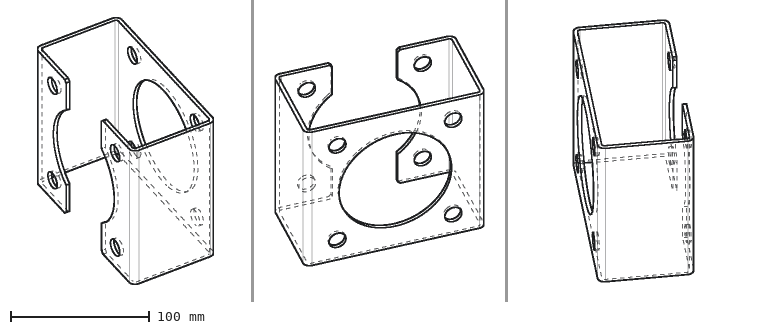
import cadquery as cq

width = 138.0
depth = 70.0
height = 125.0
thickness = 3.0
outer_bend_radius = 5.0
inner_bend_radius = outer_bend_radius - thickness

gap_width = 50.0
flange_corner_chamfer = 2.0

bore_diameter = 86.0
bolt_hole_diameter = 13.0
bolt_spacing = 88.5


def rounded_tube():
    """Closed rectangular sheet tube with concentric bends, centred on the origin."""
    outside = (
        cq.Workplane("XY")
        .box(width, depth, height)
        .edges("|Z")
        .fillet(outer_bend_radius)
    )
    inside = (
        cq.Workplane("XY")
        .box(width - 2 * thickness, depth - 2 * thickness, height)
        .edges("|Z")
        .fillet(inner_bend_radius)
    )
    return outside.cut(inside)


def front_gap():
    """Vertical opening through the front wall, widened at the chamfered flange corners."""
    half_gap = gap_width / 2
    half_mouth = half_gap + flange_corner_chamfer
    top = height / 2
    chamfer_start = top - flange_corner_chamfer
    return (
        cq.Workplane("XZ", origin=(0, -depth / 2 + thickness, 0))
        .polyline([
            (-half_mouth, -top),
            (half_mouth, -top),
            (half_gap, -chamfer_start),
            (half_gap, chamfer_start),
            (half_mouth, top),
            (-half_mouth, top),
            (-half_gap, chamfer_start),
            (-half_gap, -chamfer_start),
        ])
        .close()
        .extrude(thickness)
    )


def through_holes():
    """Central bore and four bolt holes along Y."""
    bore = cq.Workplane("XZ").circle(bore_diameter / 2).extrude(depth / 2, both=True)
    bolts = (
        cq.Workplane("XZ")
        .rarray(bolt_spacing, bolt_spacing, 2, 2)
        .circle(bolt_hole_diameter / 2)
        .extrude(depth / 2, both=True)
    )
    return bore.union(bolts)


result = rounded_tube().cut(front_gap()).cut(through_holes())